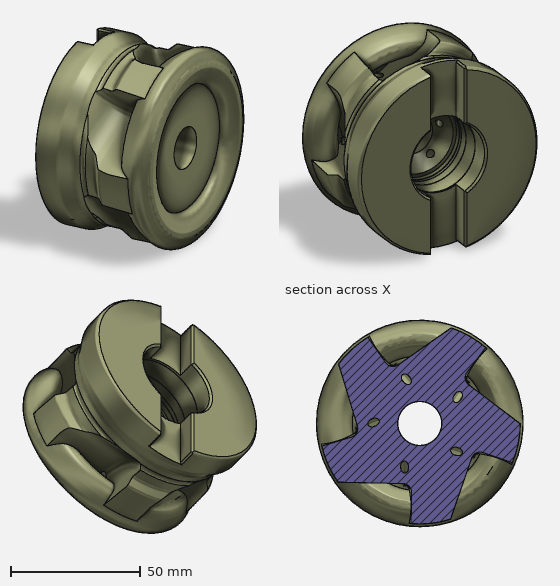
import cadquery as cq
import math


flange_radius = 39.0
flange_chamfer = 1.0
flange_chamfer_round = 1.0
flange_length = 10.3
neck_radius = 36.0
neck_start = 15.8
neck_end = 25.8
shoulder_round = 1.9
groove_start = 18.8
groove_width = 2.4
groove_depth = 0.65
land_radius = 39.0
land_start = neck_end + (land_radius - neck_radius)
land_round = 1.6
body_end = 44.8

ring_radius = 40.0
ring_middle_radius = 32.8
ring_back = 36.35
ring_peak = 45.1
ring_front = 50.0
ring_front_shoulder = (48.0, 38.7)
ring_front_lip = (49.3, 35.7)
ring_back_shoulder = (38.0, 36.3)
ring_meets_land = 42.3

bore_radius = 16.0
bore_relief_radius = 16.13
bore_relief_start = 9.0
bore_relief_end = 16.7
bore_groove_radius = 16.1
bore_groove_start = 20.65
bore_groove_end = 22.25
bore_tail_radius = 15.89
bore_depth = 24.4
bore_chamfer = 0.9
cone_radius = 14.4
through_radius = 8.5
cone_depth = cone_radius - through_radius

slot_width = 14.6
slot_depth = 8.0
slot_chamfer = 0.7
slot_chamfer_depth = 1.2

flute_count = 5
flute_pitch = 360 / flute_count
flute_angle = 53.0
floor_height = 23.4
floor_run_out = 20.8
floor_flat_start = 37.9
rake_offset = 2.9
axial_rake = 5.6
root_round = 3.2
flute_end = 43.2
clearance = 16.0

coolant_diameter = 3.0
coolant_inlet_radius = 10.8
coolant_inlet_angle = 18.0
coolant_outlet_x = 41.2
coolant_outlet_radius = 24.4
coolant_outlet_angle = 41.0
coolant_overrun = 1.6

X_AXIS = ((0, 0, 0), (1, 0, 0))


def revolve_about_x(profile):
    return profile.close().revolve(360, *X_AXIS)


def around_axis(shape, angle):
    """Turn a shape about X so that -Y swings towards +Z."""
    return shape.rotate(*X_AXIS, -angle)


def point_at(x, radius, angle):
    """Point at a given angle around X, measured from -Y towards +Z."""
    turn = math.radians(angle)
    return cq.Vector(x, -radius * math.cos(turn), radius * math.sin(turn))


def circle_edges(body, x, radius):
    reach = radius + 0.1
    tolerance = 0.04
    return body.edges(cq.selectors.BoxSelector((x - tolerance, -reach, -reach), (x + tolerance, reach, reach)))


def turned_body():
    groove_end = groove_start + groove_width
    body = revolve_about_x(
        cq.Workplane("XY")
        .lineTo(0, flange_radius - flange_chamfer)
        .lineTo(flange_chamfer, flange_radius)
        .lineTo(flange_length, flange_radius)
        .lineTo(neck_start, neck_radius)
        .lineTo(groove_start, neck_radius)
        .threePointArc((groove_start + groove_width / 2, neck_radius - groove_depth), (groove_end, neck_radius))
        .lineTo(neck_end, neck_radius)
        .lineTo(land_start, land_radius)
        .lineTo(body_end, land_radius)
        .lineTo(body_end, 0)
    )
    for x, radius, rounding in (
        (flange_chamfer, flange_radius, flange_chamfer_round),
        (flange_length, flange_radius, shoulder_round),
        (neck_start, neck_radius, shoulder_round),
        (neck_end, neck_radius, land_round),
        (land_start, land_radius, land_round),
    ):
        body = circle_edges(body, x, radius).fillet(rounding)
    return body


def front_ring():
    """Bulged ring, symmetric about its middle radius."""
    def inner(radius):
        return 2 * ring_middle_radius - radius

    outer_points = [
        ring_back_shoulder,
        (ring_meets_land, land_radius),
        (ring_peak, ring_radius),
        ring_front_shoulder,
        ring_front_lip,
        (ring_front, ring_middle_radius),
    ]
    inner_points = [(x, inner(radius)) for x, radius in reversed(outer_points[:-1])]
    inner_points.append((ring_back, ring_middle_radius))
    return revolve_about_x(
        cq.Workplane("XY")
        .moveTo(ring_back, ring_middle_radius)
        .spline(outer_points, tangents=[(0, 1), (0, -1)], includeCurrent=True)
        .spline(inner_points, tangents=[(0, -1), (0, 1)], includeCurrent=True)
    )


def flute_cutter():
    """Flute along -Z with its rake wall at the top and its floor facing -Y."""
    top = -(floor_height + floor_run_out)
    run_out_start = floor_flat_start - floor_run_out
    bend = floor_run_out * math.sqrt(0.5)
    far_end = flute_end + clearance
    cutter = (
        cq.Workplane("XY", origin=(0, 0, -rake_offset))
        .moveTo(run_out_start, top)
        .threePointArc((floor_flat_start - bend, top + bend), (floor_flat_start, -floor_height))
        .lineTo(far_end, -floor_height)
        .lineTo(far_end, top - clearance)
        .lineTo(run_out_start, top - clearance)
        .close()
        .extrude(-2 * ring_radius)
    )
    cutter = cutter.faces(">Z").edges().fillet(root_round)
    pivot = (ring_back, 0, -rake_offset)
    cutter = cutter.rotate(pivot, (ring_back, 1, -rake_offset), axial_rake)
    front_limit = cq.Workplane("YZ").circle(3 * ring_radius).extrude(flute_end)
    return cutter.intersect(front_limit)


def bore_cutter():
    cone_end = bore_depth + cone_depth
    return revolve_about_x(
        cq.Workplane("XY")
        .lineTo(0, bore_radius + bore_chamfer)
        .lineTo(bore_chamfer, bore_radius)
        .lineTo(bore_relief_start, bore_radius)
        .lineTo(bore_relief_start, bore_relief_radius)
        .lineTo(bore_relief_end, bore_relief_radius)
        .lineTo(bore_relief_end, bore_radius)
        .lineTo(bore_groove_start, bore_radius)
        .lineTo(bore_groove_start, bore_groove_radius)
        .lineTo(bore_groove_end, bore_groove_radius)
        .lineTo(bore_groove_end, bore_tail_radius)
        .lineTo(bore_depth, bore_tail_radius)
        .lineTo(bore_depth, cone_radius)
        .lineTo(cone_end, through_radius)
        .lineTo(body_end, through_radius)
        .lineTo(body_end, 0)
    )


def cut_drive_slot(body):
    """Slot with chamfers where its walls meet the mounting face and the flange rim."""
    slot = cq.Workplane("XY").box(2 * slot_depth, slot_width, 2 * flange_radius)
    half_width = slot_width / 2
    face_chamfer = (
        cq.Workplane("XY")
        .moveTo(0, half_width + slot_chamfer)
        .lineTo(slot_chamfer_depth, half_width)
        .lineTo(slot_chamfer_depth, -half_width)
        .lineTo(0, -half_width - slot_chamfer)
        .close()
        .extrude(flange_radius, both=True)
    )
    rim_height = math.sqrt(flange_radius**2 - (half_width + slot_chamfer) ** 2)
    rim_chamfer = (
        cq.Workplane("YZ")
        .moveTo(half_width + slot_chamfer, rim_height)
        .lineTo(half_width, rim_height - slot_chamfer)
        .lineTo(-half_width, rim_height - slot_chamfer)
        .lineTo(-half_width - slot_chamfer, rim_height)
        .lineTo(-half_width - slot_chamfer, flange_radius)
        .lineTo(half_width + slot_chamfer, flange_radius)
        .close()
        .extrude(slot_depth)
    )
    return body.cut(slot).cut(face_chamfer).cut(rim_chamfer).cut(rim_chamfer.mirror("XY"))


def coolant_drill():
    inlet_x = bore_depth + cone_radius - coolant_inlet_radius
    inlet = point_at(inlet_x, coolant_inlet_radius, coolant_inlet_angle)
    outlet = point_at(coolant_outlet_x, coolant_outlet_radius, coolant_outlet_angle)
    direction = (outlet - inlet).normalized()
    start = inlet - direction * coolant_overrun
    length = (outlet - start).Length + coolant_overrun
    drill = cq.Solid.makeCylinder(coolant_diameter / 2, length, start, direction)
    return cq.Workplane(drill)


result = turned_body().cut(bore_cutter())
result = cut_drive_slot(result)

flute = flute_cutter()
drill = coolant_drill()
for index in range(flute_count):
    turn = index * flute_pitch
    result = result.cut(around_axis(flute, flute_angle + turn))
    result = result.cut(around_axis(drill, turn))

result = result.union(front_ring())